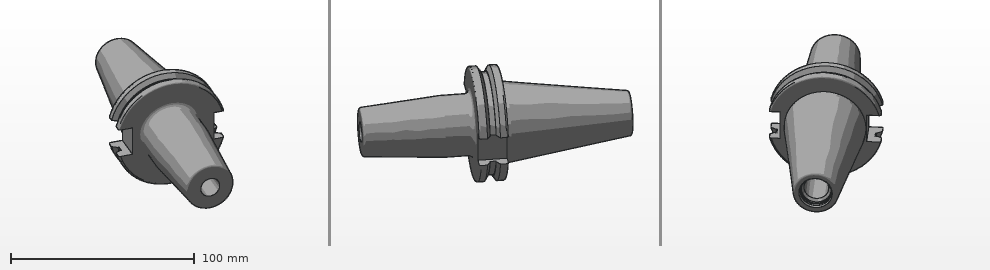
import cadquery as cq

total_length = 148.2
gauge_x = 68.2
flange_start = 71.2
flange_end = 87.2
nose_cone_start = 103.6

taper_ratio = 7 / 24
gauge_radius = 22.2
taper_end_radius = gauge_radius - gauge_x * taper_ratio / 2
flange_radius = 63.3 / 2
nose_radius = 34.0 / 2
nose_end_radius = 13.5

end_round = 1.5
flange_round = 1.0
shoulder_round = 3.0

groove_centre = 79.2
groove_top_width = 7.1
groove_bottom_width = 3.3
groove_wall_radius = 28.9
groove_floor_radius = 28.2

slot_width = 16.6
slot_floor_back = 24.8
slot_floor_front = 22.7

mouth_radius = 18.2 / 2
mouth_bevel_depth = 1.2
pilot_radius = 17.0 / 2
pilot_depth = 2.7
relief_radius = 16.3 / 2
relief_depth = 4.5
thread_radius = 13.5 / 2
lead_in_length = 1.3
thread_depth = 29.6
bore_radius = 11.0 / 2
step_bevel = 0.5


def revolve_about_x(points):
    """Turn an (x, radius) outline around the X axis."""
    return cq.Workplane("XY").polyline(points).close().revolve(360, (0, 0, 0), (1, 0, 0))


def make_taper():
    taper = revolve_about_x([
        (0, 0),
        (0, taper_end_radius),
        (gauge_x, gauge_radius),
        (flange_start, gauge_radius),
        (flange_start, 0),
    ])
    return taper.faces("<X").edges().fillet(end_round)


def make_flange():
    flange = (
        cq.Workplane("YZ", origin=(flange_start, 0, 0))
        .circle(flange_radius)
        .extrude(flange_end - flange_start)
        .edges()
        .fillet(flange_round)
    )
    half_top = groove_top_width / 2
    half_bottom = groove_bottom_width / 2
    clear_radius = flange_radius + 1.5
    groove = revolve_about_x([
        (groove_centre - half_top, clear_radius),
        (groove_centre - half_top, flange_radius),
        (groove_centre - half_bottom, groove_wall_radius),
        (groove_centre - half_bottom, groove_floor_radius),
        (groove_centre + half_bottom, groove_floor_radius),
        (groove_centre + half_bottom, groove_wall_radius),
        (groove_centre + half_top, flange_radius),
        (groove_centre + half_top, clear_radius),
    ])
    flange = flange.cut(groove)
    for side, floor in ((1, slot_floor_back), (-1, slot_floor_front)):
        slot_depth = clear_radius - floor
        slot = cq.Workplane("XY").box(flange_end - flange_start, slot_depth, slot_width).translate(
            ((flange_start + flange_end) / 2, side * (floor + slot_depth / 2), 0)
        )
        flange = flange.cut(slot)
    return flange


def make_nose():
    nose = (
        cq.Workplane("XY")
        .moveTo(flange_end, 0)
        .lineTo(flange_end, nose_radius + shoulder_round)
        .radiusArc((flange_end + shoulder_round, nose_radius), -shoulder_round)
        .lineTo(nose_cone_start, nose_radius)
        .lineTo(total_length, nose_end_radius)
        .lineTo(total_length, 0)
        .close()
        .revolve(360, (0, 0, 0), (1, 0, 0))
    )
    return nose.faces(">X").edges().fillet(end_round)


def make_bore():
    thread_drop = thread_radius - bore_radius
    return revolve_about_x([
        (0, 0),
        (0, mouth_radius),
        (mouth_bevel_depth, pilot_radius),
        (pilot_depth, pilot_radius),
        (pilot_depth + step_bevel, relief_radius),
        (relief_depth, relief_radius),
        (relief_depth + lead_in_length, thread_radius),
        (thread_depth, thread_radius),
        (thread_depth + thread_drop, bore_radius),
        (total_length, bore_radius),
        (total_length, 0),
    ])


result = make_taper().union(make_flange()).union(make_nose()).cut(make_bore())